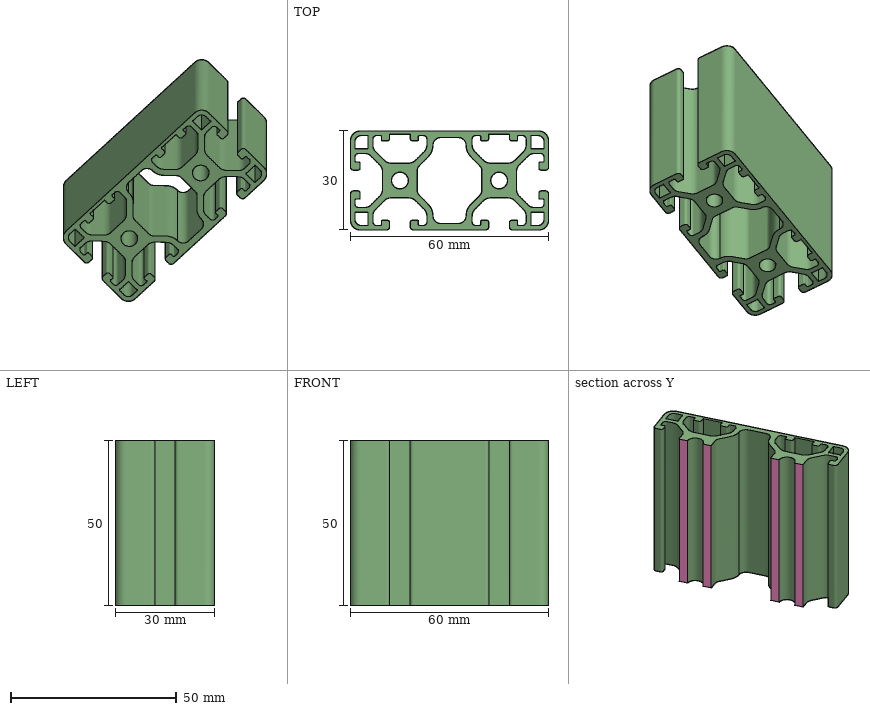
import cadquery as cq
import math


cell = 30.0
width = 2 * cell
length = 50.0
corner_radius = 3.0
half_cell = cell / 2

core_half = 5.3
bore_diameter = 5.0
web_thickness = 2.0
web_offset = web_thickness / math.sqrt(2)

wall = 1.45
skin = 1.0
opening_width = 6.2
lip_depth = 3.0
lip_width = 2.5
slot_width = 16.25
opening_half = opening_width / 2
slot_half = slot_width / 2
lip_edge_radius = 1.0
lip_nose_radius = 0.7
lip_back_radius = 0.35
lip_root_radius = 0.25
pocket_radius = 1.0
floor_radius = 3.0
outer_web_radius = 2.5
inner_web_radius = 3.0

box_inner = 9.65
box_outer = half_cell - wall
box_radius = 1.8

cavity_half_width = 5.0
cavity_half_height = 12.95
cavity_corner_radius = 2.3
cavity_bend_radius = inner_web_radius + web_thickness
cavity_neck_radius = 2.0

clearance = 0.6


def rounded_prism(corners):
    """Extrude a closed outline of (x, y, radius) corners, each rounded by a tangent arc."""
    arcs = []
    for i, (x, y, radius) in enumerate(corners):
        previous_x, previous_y, _ = corners[i - 1]
        next_x, next_y, _ = corners[(i + 1) % len(corners)]
        back = cq.Vector(previous_x - x, previous_y - y).normalized()
        ahead = cq.Vector(next_x - x, next_y - y).normalized()
        corner = cq.Vector(x, y)
        half_angle = back.getAngle(ahead) / 2
        setback = radius / math.tan(half_angle)
        to_arc_middle = radius / math.sin(half_angle) - radius
        bisector = (back + ahead).normalized()
        arcs.append((
            corner + back * setback,
            corner + bisector * to_arc_middle,
            corner + ahead * setback,
            radius,
        ))

    first_start, first_middle, first_end, first_radius = arcs[0]
    outline = cq.Workplane("XY").moveTo(first_end.x, first_end.y)
    for start, middle, end, radius in arcs[1:]:
        outline = outline.lineTo(start.x, start.y)
        if radius > 0:
            outline = outline.threePointArc(middle.toTuple()[:2], end.toTuple()[:2])
    if first_radius > 0:
        outline = outline.lineTo(first_start.x, first_start.y)
        outline = outline.threePointArc(first_middle.toTuple()[:2], first_end.toTuple()[:2])
    return outline.close().extrude(length)


def mirrored_in_x(corners):
    return [(-x, y, radius) for x, y, radius in reversed(corners)]


def mirrored_in_y(corners):
    return [(x, -y, radius) for x, y, radius in reversed(corners)]


def slot_side(is_open, web_radius):
    """Corners of the +X half of a slot that faces +Y, from its mouth down to the core."""
    lip_tip = half_cell - lip_depth
    lip_back = opening_half + lip_width
    pocket_top = half_cell - wall
    if is_open:
        mouth = [
            (lip_back, half_cell + clearance, 0),
            (lip_back, half_cell, 0),
            (opening_half, half_cell, lip_edge_radius),
        ]
    else:
        mouth = [(opening_half, half_cell - skin, 0)]
    return mouth + [
        (opening_half, lip_tip, lip_nose_radius),
        (lip_back, lip_tip, lip_back_radius),
        (lip_back, pocket_top, lip_root_radius),
        (slot_half, pocket_top, pocket_radius),
        (slot_half, slot_half + web_offset, web_radius),
        (core_half - web_offset, core_half, floor_radius),
    ]


def slot(is_open, left_radius, right_radius):
    """Slot void of a cell centred on the origin, facing +Y."""
    right = slot_side(is_open, right_radius)
    left = mirrored_in_x(slot_side(is_open, left_radius))
    return rounded_prism(right + left)


def corner_box():
    """Void in the (+X, +Y) corner of a cell centred on the origin."""
    return rounded_prism([
        (box_inner, box_inner, 0),
        (box_outer, box_inner, 0),
        (box_outer, box_outer, box_radius),
        (box_inner, box_outer, 0),
    ])


def cell_voids():
    """All voids of the right-hand cell, centred on the origin."""
    top_slot = slot(False, inner_web_radius, outer_web_radius)
    bottom_slot = slot(True, outer_web_radius, inner_web_radius).rotate((0, 0, 0), (0, 0, 1), 180)
    side_slot = slot(True, outer_web_radius, outer_web_radius).rotate((0, 0, 0), (0, 0, 1), -90)
    bore = cq.Workplane("XY").circle(bore_diameter / 2).extrude(length)
    box = corner_box()
    return [top_slot, bottom_slot, side_slot, bore, box, box.mirror("XZ")]


def central_cavity():
    """Void between the two cores, centred on the profile axis."""
    neck_x = half_cell - core_half
    neck_y = core_half - web_offset
    bend_y = half_cell - cavity_half_width - web_offset
    quarter = [
        (neck_x, neck_y, cavity_neck_radius),
        (cavity_half_width, bend_y, cavity_bend_radius),
        (cavity_half_width, cavity_half_height, cavity_corner_radius),
    ]
    upper = quarter + mirrored_in_x(quarter)
    return rounded_prism(upper + mirrored_in_y(upper))


result = cq.Workplane("XY").rect(width, cell).extrude(length).edges("|Z").fillet(corner_radius)

for void in cell_voids():
    right_void = void.translate((half_cell, 0, 0))
    result = result.cut(right_void).cut(right_void.mirror("YZ"))

result = result.cut(central_cavity())